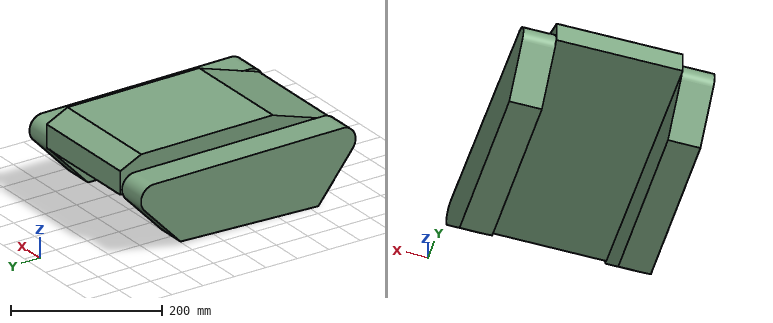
import cadquery as cq
import math

overall_width = 265.0
pod_width = 45.0
hull_width = overall_width - 2 * pod_width

wheel_radius = 20.7
front_wheel = (-151.5, 83.5)
rear_wheel = (149.0, 80.5)
front_foot = (-113.0, 0.0)
rear_foot = (106.5, 6.2)

hull_rear_y = 172.3
hull_nose_y = -166.0
hull_floor_z = 74.0
rear_edge_z = 109.0
nose_edge_z = 96.0
deck_rear = (139.0, 124.8)
deck_front = (-70.5, 127.0)
glacis_top = (-74.0, 125.5)


def point_on_wheel(center, angle):
    """Point on the wheel rim at an angle measured from +Y toward +Z."""
    return (
        center[0] + wheel_radius * math.cos(angle),
        center[1] + wheel_radius * math.sin(angle),
    )


def foot_tangent_angle(center, foot, side):
    """Rim angle where the line from the foot is tangent; side is +1 rear, -1 front."""
    dy = foot[0] - center[0]
    dz = foot[1] - center[1]
    return math.atan2(dz, dy) + side * math.acos(wheel_radius / math.hypot(dy, dz))


def track_pod(start_x):
    """Pod with rounded ends, its straight edges tangent to both end arcs."""
    top_angle = math.atan2(rear_wheel[1] - front_wheel[1], rear_wheel[0] - front_wheel[0]) + math.pi / 2
    front_angle = foot_tangent_angle(front_wheel, front_foot, -1) + 2 * math.pi
    rear_angle = foot_tangent_angle(rear_wheel, rear_foot, 1)
    return (
        cq.Workplane("YZ", origin=(start_x, 0, 0))
        .moveTo(*front_foot)
        .lineTo(*rear_foot)
        .lineTo(*point_on_wheel(rear_wheel, rear_angle))
        .threePointArc(
            point_on_wheel(rear_wheel, (rear_angle + top_angle) / 2),
            point_on_wheel(rear_wheel, top_angle),
        )
        .lineTo(*point_on_wheel(front_wheel, top_angle))
        .threePointArc(
            point_on_wheel(front_wheel, (top_angle + front_angle) / 2),
            point_on_wheel(front_wheel, front_angle),
        )
        .close()
        .extrude(pod_width)
    )


def hull():
    """Hull with a gently sloped deck, a rear bevel and a long front glacis."""
    profile = [
        (hull_nose_y, hull_floor_z),
        (hull_rear_y, hull_floor_z),
        (hull_rear_y, rear_edge_z),
        deck_rear,
        deck_front,
        glacis_top,
        (hull_nose_y, nose_edge_z),
    ]
    return (
        cq.Workplane("YZ", origin=(-hull_width / 2, 0, 0))
        .polyline(profile)
        .close()
        .extrude(hull_width)
    )


result = hull()
for pod_start_x in (-overall_width / 2, hull_width / 2):
    result = result.union(track_pod(pod_start_x))